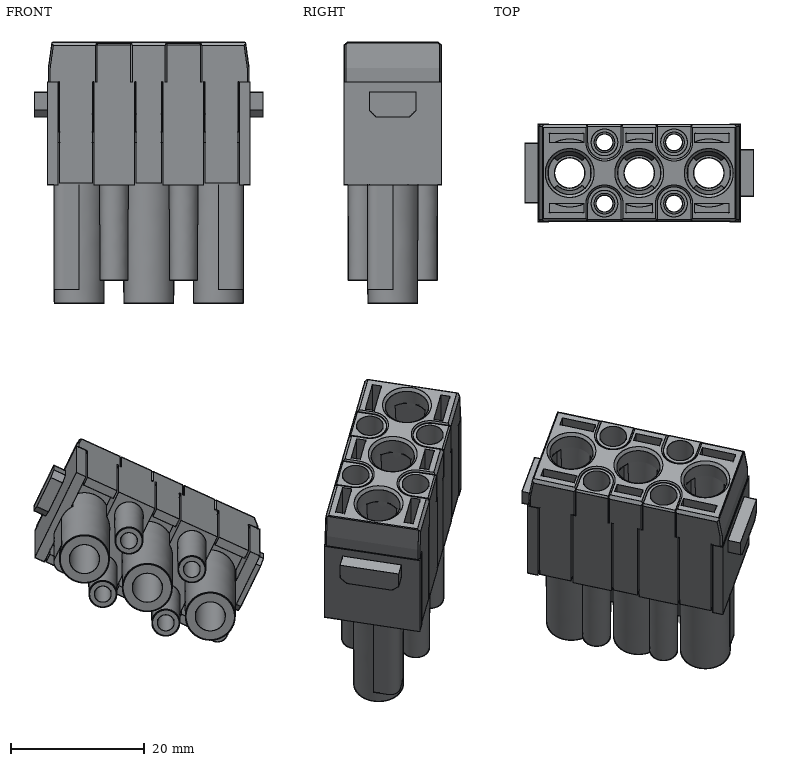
import cadquery as cq
import math

TOTAL_HEIGHT = 39.1
BODY_WIDTH = 30.35
BODY_DEPTH = 14.5
BODY_BOTTOM = 17.8
SHOULDER_Z = 33.15
HALF_DEPTH = BODY_DEPTH / 2

END_STRIP_WIDTH = 1.6
END_STRIP_DEPTH = 14.6

UPPER_WIDTH = 30.03
TOP_WIDTH = 28.95
TAPER_START_Z = 35.23
LONG_CHAMFER = 0.45
END_CHAMFER = 0.1
EDGE_CHAMFER = 0.27

CONTACT_PITCH = 10.4
LARGE_X = (-CONTACT_PITCH, 0, CONTACT_PITCH)
SMALL_Y = 4.57
SMALL_POSITIONS = [(x, y) for x in (-CONTACT_PITCH / 2, CONTACT_PITCH / 2) for y in (-SMALL_Y, SMALL_Y)]

LAND_RADIUS = 2.5
LAND_DROP = 0.15
LAND_TOP_Z = TOTAL_HEIGHT - LAND_DROP

OVERALL_WIDTH = 34.2
LUG_TOP_Z = 31.65
LUG_BOTTOM_Z = 27.9
LUG_CHAMFER = 1.0
LEFT_LUG_DEPTH = 8.95
RIGHT_LUG_DEPTH = 7.0

END_FINGER_X = 10.87
END_FINGER_WIDTH = 4.9
MIDDLE_FINGER_WIDTH = 3.75
FINGERS = [
    (-END_FINGER_X, END_FINGER_WIDTH),
    (0, MIDDLE_FINGER_WIDTH),
    (END_FINGER_X, END_FINGER_WIDTH),
]
FINGER_GAP = 0.27
FINGER_THICKNESS = 1.33
CAVITY_INNER_Y = 4.55
CAVITY_FLOOR_Z = 25.65
LEDGE_Z = 28.4
LEDGE_RADIUS = 5.1
LOWER_CAVITY_TOP_Z = 24.12
LOWER_CAVITY_INNER_Y = 2.3

LARGE_PIN_RADIUS = 3.8
SMALL_PIN_RADIUS = 2.15
SMALL_PIN_BOTTOM_Z = 3.45
PIN_TOP_Z = 24.65
PIN_CHAMFER = 0.1
PIN_TAPER = 0.06
KEY_BOTTOM_Z = 2.1
KEY_CORNER_RADIUS = 1.52

LARGE_BORE_DIAMETER = 6.45
LARGE_BORE_CHAMFER = 0.43
LARGE_HOLE_DIAMETER = 4.5
LARGE_BORE_BOTTOM_Z = 36.1
POCKET_WIDTH = 6.3
POCKET_FLOOR_Z = 27.37
FUNNEL_END_RADIUS = 2.62

SMALL_BORE_STEPS = [(4.0, 27.37), (3.1, 23.45), (2.5, 0.0)]


def block(x_range, y_range, z_range):
    """Axis-aligned box given by its limits."""
    (x0, x1), (y0, y1), (z0, z1) = x_range, y_range, z_range
    return cq.Workplane("XY").box(x1 - x0, y1 - y0, z1 - z0, centered=False).translate((x0, y0, z0))


def cylinder(x, y, radius, bottom_z, top_z):
    """Upright cylinder between two heights."""
    return cq.Workplane("XY", origin=(x, y, bottom_z)).circle(radius).extrude(top_z - bottom_z)


def revolved(profile):
    """Solid of revolution about the Z axis from a closed (radius, z) profile."""
    return cq.Workplane("XZ").polyline(profile).close().revolve(360, (0, 0), (0, 1))


def land(x, y, top_z):
    """U-shaped prism, rounded inward around a small contact and open to the nearest long side."""
    round_end = cylinder(x, y, LAND_RADIUS, SHOULDER_Z, top_z)
    outer_y = HALF_DEPTH if y > 0 else -HALF_DEPTH
    straight = block((x - LAND_RADIUS, x + LAND_RADIUS), sorted((y, outer_y)), (SHOULDER_Z, top_z))
    return round_end.union(straight)


def make_upper_block():
    """Tapered upper block with a notch around each small contact and chamfered edges."""
    outline = [
        (-UPPER_WIDTH / 2, SHOULDER_Z),
        (UPPER_WIDTH / 2, SHOULDER_Z),
        (UPPER_WIDTH / 2, TAPER_START_Z),
        (TOP_WIDTH / 2, TOTAL_HEIGHT),
        (-TOP_WIDTH / 2, TOTAL_HEIGHT),
        (-UPPER_WIDTH / 2, TAPER_START_Z),
    ]
    upper = cq.Workplane("XZ").polyline(outline).close().extrude(HALF_DEPTH, both=True)
    for x, y in SMALL_POSITIONS:
        upper = upper.cut(land(x, y, TOTAL_HEIGHT))
    upper = upper.faces("<Y or >Y").edges("#Z").edges(">Z").chamfer(LONG_CHAMFER)
    upper = upper.faces(">Z").edges("<X or >X").chamfer(END_CHAMFER)
    upper = upper.faces(">Z").edges("not (<X or >X or <Y or >Y)").chamfer(EDGE_CHAMFER)
    upper = upper.faces("<Y or >Y").edges("not #Z").chamfer(EDGE_CHAMFER)
    return upper


def make_land(x, y):
    """Land filling one U-shaped notch, with a chamfer along its outer edge."""
    side = ">Y" if y > 0 else "<Y"
    return land(x, y, LAND_TOP_Z).faces(side).edges(">Z").chamfer(EDGE_CHAMFER)


def make_lug(outer_x, wall_x, depth):
    """Side lug whose two lower edges are chamfered."""
    lug = block(sorted((outer_x, wall_x)), (-depth / 2, depth / 2), (LUG_BOTTOM_Z, LUG_TOP_Z))
    return lug.faces("<Z").edges("|X").chamfer(LUG_CHAMFER)


def make_body():
    """Outer body with its end strips, upper block, lands and side lugs."""
    body = block(
        (-BODY_WIDTH / 2, BODY_WIDTH / 2), (-HALF_DEPTH, HALF_DEPTH), (BODY_BOTTOM, SHOULDER_Z)
    )
    for outer_x in (-BODY_WIDTH / 2, BODY_WIDTH / 2):
        inner_x = outer_x - math.copysign(END_STRIP_WIDTH, outer_x)
        strip_y = (-END_STRIP_DEPTH / 2, END_STRIP_DEPTH / 2)
        body = body.union(block(sorted((outer_x, inner_x)), strip_y, (BODY_BOTTOM, SHOULDER_Z)))
    body = body.union(make_upper_block())
    for x, y in SMALL_POSITIONS:
        body = body.union(make_land(x, y))
    body = body.union(make_lug(-OVERALL_WIDTH / 2, -BODY_WIDTH / 2, LEFT_LUG_DEPTH))
    return body.union(make_lug(OVERALL_WIDTH / 2, BODY_WIDTH / 2, RIGHT_LUG_DEPTH))


def make_finger_space(x, bore_x, width):
    """Space that frees one finger on the -Y side: side gaps, end gap and cavities behind it."""
    inner_y = -CAVITY_INNER_Y
    finger_back_y = -HALF_DEPTH + FINGER_THICKNESS
    half_finger = width / 2
    half_outer = half_finger + FINGER_GAP
    half_cavity = half_finger + FINGER_GAP / 2
    cavity_x = (x - half_cavity, x + half_cavity)

    upper_cavity = block(cavity_x, (finger_back_y, inner_y), (CAVITY_FLOOR_Z, TOTAL_HEIGHT))
    upper_cavity = upper_cavity.cut(cylinder(bore_x, 0, LEDGE_RADIUS, CAVITY_FLOOR_Z, LEDGE_Z))
    lower_cavity = block(
        (x - half_outer, x + half_outer),
        (finger_back_y, -LOWER_CAVITY_INNER_Y),
        (BODY_BOTTOM, LOWER_CAVITY_TOP_Z),
    )
    gaps = block((x - half_outer, x + half_outer), (-HALF_DEPTH, finger_back_y), (BODY_BOTTOM, SHOULDER_Z))
    finger_zone = block(
        (x - half_finger, x + half_finger),
        (-HALF_DEPTH, finger_back_y),
        (BODY_BOTTOM + FINGER_GAP, SHOULDER_Z),
    )
    return gaps.cut(finger_zone).union(upper_cavity).union(lower_cavity)


def make_pin(x, y, radius, bottom_z):
    """Pin that is straight inside the body and tapers slightly below it, with a chamfered end."""
    end_radius = radius - PIN_TAPER
    profile = [
        (0, bottom_z),
        (end_radius - PIN_CHAMFER, bottom_z),
        (end_radius, bottom_z + PIN_CHAMFER),
        (radius, BODY_BOTTOM),
        (radius, PIN_TOP_Z),
        (0, PIN_TOP_Z),
    ]
    return revolved(profile).translate((x, y, 0))


def make_key(x):
    """Rounded square corner that keys an end pin on its outer -Y side."""
    outer_x = x + (LARGE_PIN_RADIUS if x > 0 else -LARGE_PIN_RADIUS)
    key = block(sorted((x, outer_x)), (-LARGE_PIN_RADIUS, 0), (KEY_BOTTOM_Z, PIN_TOP_Z))
    outer_corner = "|Z and >X and <Y" if x > 0 else "|Z and <X and <Y"
    return key.edges(outer_corner).fillet(KEY_CORNER_RADIUS)


def make_large_bore(x):
    """Chamfered socket, with a funnel on its Y sides and flat-walled pockets on its X sides."""
    bore_radius = LARGE_BORE_DIAMETER / 2
    half_pocket = POCKET_WIDTH / 2
    profile = [
        (0, 0),
        (LARGE_HOLE_DIAMETER / 2, 0),
        (LARGE_HOLE_DIAMETER / 2, POCKET_FLOOR_Z),
        (FUNNEL_END_RADIUS, POCKET_FLOOR_Z),
        (bore_radius, LARGE_BORE_BOTTOM_Z),
        (bore_radius, TOTAL_HEIGHT - LARGE_BORE_CHAMFER),
        (bore_radius + LARGE_BORE_CHAMFER, TOTAL_HEIGHT),
        (0, TOTAL_HEIGHT),
    ]
    bore = revolved(profile)
    for wall_x in (-half_pocket, half_pocket):
        pocket = cq.Workplane("XY", origin=(0, 0, POCKET_FLOOR_Z))
        pocket = pocket.polyline([(0, 0), (wall_x, -half_pocket), (wall_x, half_pocket)]).close()
        bore = bore.union(pocket.extrude(LARGE_BORE_BOTTOM_Z - POCKET_FLOOR_Z))
    return bore.translate((x, 0, 0))


result = make_body()

for finger_x, finger_width in FINGERS:
    nearest_bore_x = min(LARGE_X, key=lambda bore_x: abs(bore_x - finger_x))
    space = make_finger_space(finger_x, nearest_bore_x, finger_width)
    result = result.cut(space).cut(space.mirror("XZ"))

for large_x in LARGE_X:
    result = result.union(make_pin(large_x, 0, LARGE_PIN_RADIUS, 0))
for end_x in (LARGE_X[0], LARGE_X[-1]):
    result = result.union(make_key(end_x))
for small_x, small_y in SMALL_POSITIONS:
    result = result.union(make_pin(small_x, small_y, SMALL_PIN_RADIUS, SMALL_PIN_BOTTOM_Z))

for large_x in LARGE_X:
    result = result.cut(make_large_bore(large_x))
for small_x, small_y in SMALL_POSITIONS:
    for diameter, bottom_z in SMALL_BORE_STEPS:
        result = result.cut(cylinder(small_x, small_y, diameter / 2, bottom_z, TOTAL_HEIGHT))